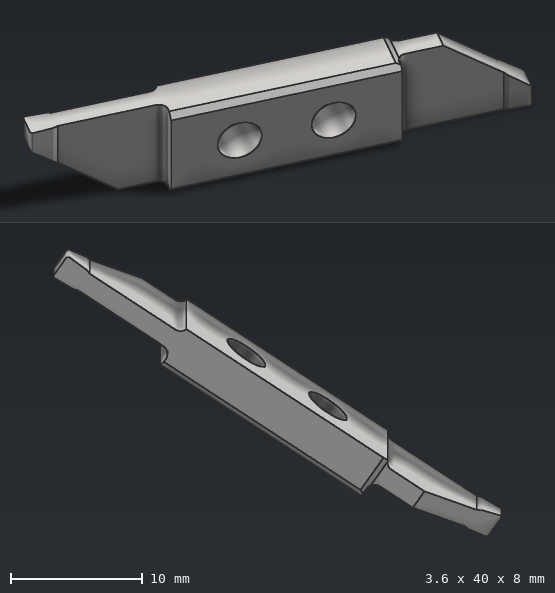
import cadquery as cq
import math

LENGTH = 40.0
THICKNESS = 3.6
HEIGHT = 8.0

BODY_HALF_LENGTH = 9.22
BODY_CHAMFER = 0.5
HOLE_DIAMETER = 3.5
HOLE_SPACING = 7.5

BLADE_LEFT_INSET = 0.5
BLADE_WIDTH = 1.6
ROOT_RADIUS = 0.73

TIP_WIDTH = 2.04
TIP_BACK_WIDTH = 1.84
TIP_LENGTH = 1.85
TIP_BLEND_LENGTH = 0.36
TIP_CORNER_RADIUS = 0.22

TIP_HEIGHT = 1.9
RELIEF_ANGLE = 40.0
STEP_DEPTH = 0.2
STEP_START = 8.86
STEP_END = 9.33

HALF_LENGTH = LENGTH / 2
HALF_HEIGHT = HEIGHT / 2
BODY_LEFT = -THICKNESS / 2
BODY_RIGHT = THICKNESS / 2
BLADE_LEFT = BODY_LEFT + BLADE_LEFT_INSET
BLADE_RIGHT = BLADE_LEFT + BLADE_WIDTH
BLADE_CENTER = (BLADE_LEFT + BLADE_RIGHT) / 2


def end_plan():
    """Half of the plan outline, from mid-length to the tip at -Y, extruded to full height."""
    tip_left = BLADE_CENTER - TIP_WIDTH / 2
    tip_right = BLADE_CENTER + TIP_WIDTH / 2
    back_left = BLADE_CENTER - TIP_BACK_WIDTH / 2
    back_right = BLADE_CENTER + TIP_BACK_WIDTH / 2
    tip_back = -HALF_LENGTH + TIP_LENGTH
    blend_back = tip_back + TIP_BLEND_LENGTH

    root_start = -BODY_HALF_LENGTH - ROOT_RADIUS
    left_sweep = math.acos(1 - BLADE_LEFT_INSET / ROOT_RADIUS)
    left_arc_end = root_start + ROOT_RADIUS * math.sin(left_sweep)
    left_arc_middle = (
        BLADE_LEFT - ROOT_RADIUS * (1 - math.cos(left_sweep / 2)),
        root_start + ROOT_RADIUS * math.sin(left_sweep / 2),
    )
    right_arc_middle = (
        BLADE_RIGHT + ROOT_RADIUS * (1 - math.cos(math.pi / 4)),
        root_start + ROOT_RADIUS * math.sin(math.pi / 4),
    )

    outline = (
        cq.Workplane("XY", origin=(0, 0, -HALF_HEIGHT))
        .moveTo(BODY_LEFT, 0)
        .lineTo(BODY_LEFT, left_arc_end)
        .threePointArc(left_arc_middle, (BLADE_LEFT, root_start))
        .lineTo(BLADE_LEFT, blend_back)
        .lineTo(back_left, tip_back)
        .lineTo(tip_left, -HALF_LENGTH)
        .lineTo(tip_right, -HALF_LENGTH)
        .lineTo(back_right, tip_back)
        .lineTo(BLADE_RIGHT, blend_back)
        .lineTo(BLADE_RIGHT, root_start)
        .threePointArc(right_arc_middle, (BLADE_RIGHT + ROOT_RADIUS, -BODY_HALF_LENGTH))
        .lineTo(BODY_RIGHT, -BODY_HALF_LENGTH)
        .lineTo(BODY_RIGHT, 0)
        .close()
    )
    end = outline.extrude(HEIGHT)
    return end.faces("<Y").edges("|Z").fillet(TIP_CORNER_RADIUS)


def end_side():
    """Half of the side outline, from mid-length to the tip at -Y, extruded through the thickness."""
    step_level = -HALF_HEIGHT + STEP_DEPTH
    tip_bottom = HALF_HEIGHT - TIP_HEIGHT
    relief_run = (tip_bottom - step_level) / math.tan(math.radians(RELIEF_ANGLE))
    points = [
        (0, HALF_HEIGHT),
        (-HALF_LENGTH, HALF_HEIGHT),
        (-HALF_LENGTH, tip_bottom),
        (-HALF_LENGTH + relief_run, step_level),
        (-STEP_END, step_level),
        (-STEP_START, -HALF_HEIGHT),
        (0, -HALF_HEIGHT),
    ]
    side = cq.Workplane("YZ", origin=(BODY_LEFT, 0, 0)).polyline(points).close()
    return side.extrude(THICKNESS)


def chamfered_section():
    """Bar with the two long edges on the +X side chamfered."""
    bar = cq.Workplane("XY").box(THICKNESS, LENGTH, HEIGHT)
    return bar.faces(">X").edges("|Y").chamfer(BODY_CHAMFER)


def mounting_holes():
    centers = [(-HOLE_SPACING / 2, 0), (HOLE_SPACING / 2, 0)]
    holes = cq.Workplane("YZ", origin=(BODY_LEFT, 0, 0)).pushPoints(centers)
    return holes.circle(HOLE_DIAMETER / 2).extrude(THICKNESS)


front_end = end_plan().intersect(end_side())
back_end = front_end.rotate((0, 0, 0), (1, 0, 0), 180)
blank = front_end.union(back_end)
result = blank.intersect(chamfered_section()).cut(mounting_holes())